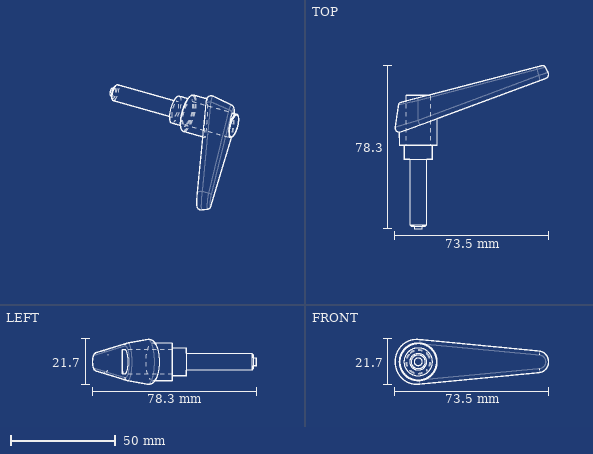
import cadquery as cq
import math


upper_plane_height = 22.95
upper_plane_angle = 14.6
lower_plane_height = 9.55
lower_plane_angle = 20.3
upper_root_radius = 8.85
upper_root_x = -0.8
upper_tip_radius = 4.2
upper_tip_x = 56.2
lower_root_radius = 11.3
lower_root_x = -1.0
lower_tip_radius = 5.8
lower_tip_x = 57.8
upper_edge_fillet = 1.5
lower_edge_fillet = 2.1

hub_radius = 9.1
hub_edge_chamfer = 0.4
hub_top = 15.65

button_radius = 5.9
button_top = 24.35
button_edge_chamfer = 0.4
collar_radius = 6.7
collar_length = 6.5
stem_radius = 4.0
stem_end = -38.6
stem_edge_chamfer = 0.7
tip_radius = 1.9
tip_length = 1.3


def teardrop_wire(height, angle, root_radius, root_x, tip_radius, tip_x):
    """Two circles joined by tangent lines, on a plane sloping up along X."""
    slope = math.radians(angle)
    plane = cq.Plane(
        origin=(0, height, 0),
        xDir=(math.cos(slope), math.sin(slope), 0),
        normal=(-math.sin(slope), math.cos(slope), 0),
    )
    root_center = root_x / math.cos(slope)
    tip_center = tip_x / math.cos(slope)
    tangent_cosine = (root_radius - tip_radius) / (tip_center - root_center)
    tangent_sine = math.sqrt(1 - tangent_cosine**2)
    root_end = root_center + root_radius * tangent_cosine
    root_side = root_radius * tangent_sine
    tip_start = tip_center + tip_radius * tangent_cosine
    tip_side = tip_radius * tangent_sine
    outline = (
        cq.Workplane(plane)
        .moveTo(root_end, root_side)
        .threePointArc((root_center - root_radius, 0), (root_end, -root_side))
        .lineTo(tip_start, -tip_side)
        .threePointArc((tip_center + tip_radius, 0), (tip_start, tip_side))
        .close()
    )
    return outline.val()


def cylinder_along_y(radius, start, end):
    """A cylinder on the stud axis between two Y positions."""
    return cq.Workplane("XZ", origin=(0, end, 0)).circle(radius).extrude(end - start)


def make_arm():
    lower = teardrop_wire(
        lower_plane_height, lower_plane_angle, lower_root_radius, lower_root_x, lower_tip_radius, lower_tip_x
    )
    upper = teardrop_wire(
        upper_plane_height, upper_plane_angle, upper_root_radius, upper_root_x, upper_tip_radius, upper_tip_x
    )
    arm = cq.Workplane(cq.Solid.makeLoft([lower, upper], True))
    arm = arm.faces(f"<({-math.tan(math.radians(lower_plane_angle))}, 1, 0)")
    arm = arm.edges().fillet(lower_edge_fillet)
    arm = arm.faces(f">({-math.tan(math.radians(upper_plane_angle))}, 1, 0)")
    return arm.edges().fillet(upper_edge_fillet)


def make_stud():
    button = cylinder_along_y(button_radius, 0, button_top).faces(">Y").chamfer(button_edge_chamfer)
    collar = cylinder_along_y(collar_radius, -collar_length, 0)
    stem = cylinder_along_y(stem_radius, stem_end, -collar_length).faces("<Y").chamfer(stem_edge_chamfer)
    tip = cylinder_along_y(tip_radius, stem_end - tip_length, stem_end)
    return button.union(collar).union(stem).union(tip)


def make_lever():
    hub = cylinder_along_y(hub_radius, 0, hub_top).faces("<Y").chamfer(hub_edge_chamfer)
    bore = cylinder_along_y(button_radius, 0, button_top)
    return make_arm().union(hub).cut(bore)


lever = make_lever()
stud = make_stud()

result = cq.Compound.makeCompound([lever.val(), stud.val()])